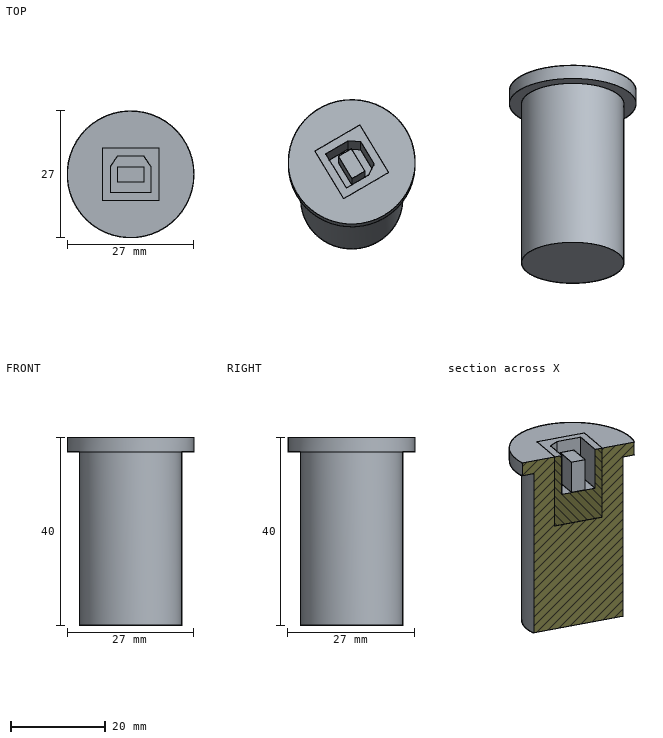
import cadquery as cq

total_height = 40.0
barrel_diameter = 21.8
flange_diameter = 27.0
flange_thickness = 3.1

shell_width = 12.0
shell_length = 11.1
shell_depth = 16.0

socket_width = 8.6
socket_length = 7.75
socket_corner_width = 1.5
socket_corner_length = 2.25
socket_depth = 9.0

tongue_width = socket_width - 2 * socket_corner_width
tongue_length = 3.2
tongue_recess = 2.0

shell_bottom = total_height - shell_depth
socket_floor = total_height - socket_depth


def block(width, length, bottom, top):
    """Rectangular block centred on the Z axis between two heights."""
    return cq.Workplane("XY").workplane(offset=bottom).rect(width, length).extrude(top - bottom)


def make_housing():
    """Flanged barrel with a blind pocket that fits the connector shell."""
    barrel = cq.Workplane("XY").circle(barrel_diameter / 2).extrude(total_height)
    flange = (
        cq.Workplane("XY")
        .workplane(offset=total_height - flange_thickness)
        .circle(flange_diameter / 2)
        .extrude(flange_thickness)
    )
    pocket = block(shell_width, shell_length, shell_bottom, total_height)
    return barrel.union(flange).cut(pocket)


def make_shell():
    """Connector block with the blind socket opening at the top."""
    half_width = socket_width / 2
    half_length = socket_length / 2
    socket = (
        cq.Workplane("XY")
        .workplane(offset=socket_floor)
        .polyline([
            (-half_width, -half_length),
            (half_width, -half_length),
            (half_width, half_length - socket_corner_length),
            (half_width - socket_corner_width, half_length),
            (-half_width + socket_corner_width, half_length),
            (-half_width, half_length - socket_corner_length),
        ])
        .close()
        .extrude(socket_depth)
    )
    return block(shell_width, shell_length, shell_bottom, total_height).cut(socket)


def make_tongue():
    """Bar that rises from the socket floor."""
    return block(tongue_width, tongue_length, socket_floor, total_height - tongue_recess)


housing = make_housing()
shell = make_shell()
tongue = make_tongue()

result = cq.Compound.makeCompound([housing.val(), shell.val(), tongue.val()])